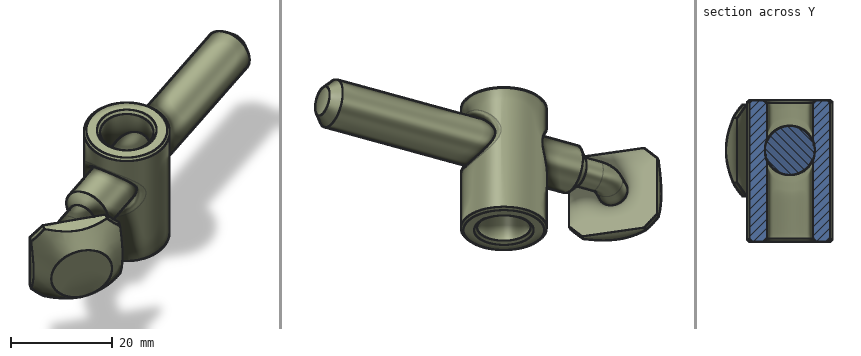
import cadquery as cq
import math


HOUSING_RADIUS = 8.5
HOUSING_TOP = 9.9
HOUSING_HEIGHT = 28.0
HOUSING_RIM_CHAMFER = 0.5
BORE_RADIUS = 5.3
BORE_CHAMFER = 0.6
CROSS_HOLE_ROUNDING = 1.2

ROD_RADIUS = 4.9
ROD_BACK_Y = 40.95
ROD_FRONT_Y = -17.0

SHANK_RADIUS = 3.0
SHANK_STRAIGHT = 3.75
BEND_RADIUS = 5.0
BEND_ANGLE = 45.0
SHANK_END_STRAIGHT = 3.6

HEAD_WIDTH = 18.1
HEAD_CORNER_CUT = 2.7
HEAD_THICKNESS = 6.0
HEAD_FACE_RADIUS = 6.2

ROD_CHAMFER = ROD_RADIUS - SHANK_RADIUS
ROD_LENGTH = ROD_BACK_Y - ROD_FRONT_Y

bend = math.radians(BEND_ANGLE)
bend_start_y = ROD_FRONT_Y - SHANK_STRAIGHT
bend_middle = (
    BEND_RADIUS * (1 - math.cos(bend / 2)),
    bend_start_y - BEND_RADIUS * math.sin(bend / 2),
)
bend_end = (
    BEND_RADIUS * (1 - math.cos(bend)),
    bend_start_y - BEND_RADIUS * math.sin(bend),
)
head_direction = (math.sin(bend), -math.cos(bend), 0)
head_centre = (
    bend_end[0] + SHANK_END_STRAIGHT * head_direction[0],
    bend_end[1] + SHANK_END_STRAIGHT * head_direction[1],
)


def rod_cylinder():
    """Plain cylinder along Y over the full length of the rod."""
    return (
        cq.Workplane("XZ", origin=(0, ROD_BACK_Y, 0))
        .circle(ROD_RADIUS)
        .extrude(ROD_LENGTH)
    )


def make_housing():
    """Chamfered sleeve with a cross hole whose mouths are rounded."""
    sleeve = (
        cq.Workplane("XY", origin=(0, 0, HOUSING_TOP - HOUSING_HEIGHT))
        .circle(HOUSING_RADIUS)
        .extrude(HOUSING_HEIGHT)
        .faces("<Z or >Z")
        .chamfer(HOUSING_RIM_CHAMFER)
    )
    drilled = sleeve.cut(rod_cylinder())
    mouth_zone = cq.selectors.BoxSelector(
        (-HOUSING_RADIUS, -HOUSING_RADIUS, -ROD_RADIUS),
        (HOUSING_RADIUS, HOUSING_RADIUS, ROD_RADIUS),
    )
    rounded = drilled.edges(mouth_zone).edges("not %LINE").fillet(CROSS_HOLE_ROUNDING)
    bore = (
        cq.Workplane("XY", origin=(0, 0, HOUSING_TOP - HOUSING_HEIGHT))
        .circle(BORE_RADIUS)
        .extrude(HOUSING_HEIGHT)
    )
    bored = rounded.cut(bore)
    bore_rims = cq.selectors.RadiusNthSelector(0)
    for end in (">Z", "<Z"):
        bored = bored.faces(end).edges(bore_rims).chamfer(BORE_CHAMFER)
    return bored


def make_rod():
    """Straight rod with both ends chamfered."""
    return rod_cylinder().faces("<Y or >Y").chamfer(ROD_CHAMFER)


def make_shank():
    """Round bar: straight, bent towards +X, then straight up to the head."""
    path = (
        cq.Workplane("XY")
        .moveTo(0, ROD_FRONT_Y)
        .lineTo(0, bend_start_y)
        .threePointArc(bend_middle, bend_end)
        .lineTo(*head_centre)
    )
    return (
        cq.Workplane("XZ", origin=(0, ROD_FRONT_Y, 0))
        .circle(SHANK_RADIUS)
        .sweep(path)
    )


def make_head():
    """Square plate with cut corners, trimmed by a 45 degree cone."""
    head_plane = cq.Plane(origin=(*head_centre, 0), xDir=(0, 0, 1), normal=head_direction)
    plate = (
        cq.Workplane(head_plane)
        .rect(HEAD_WIDTH, HEAD_WIDTH)
        .extrude(HEAD_THICKNESS)
        .edges(cq.selectors.ParallelDirSelector(cq.Vector(*head_direction)))
        .chamfer(HEAD_CORNER_CUT)
    )
    cone = cq.Solid.makeCone(
        HEAD_FACE_RADIUS + HEAD_THICKNESS,
        HEAD_FACE_RADIUS,
        HEAD_THICKNESS,
        pnt=cq.Vector(*head_centre, 0),
        dir=cq.Vector(*head_direction),
    )
    return plate.intersect(cq.Workplane(cone))


housing = make_housing()
rod = make_rod()
shank = make_shank()
head = make_head()

result = cq.Compound.makeCompound([housing.val(), rod.val(), shank.val(), head.val()])